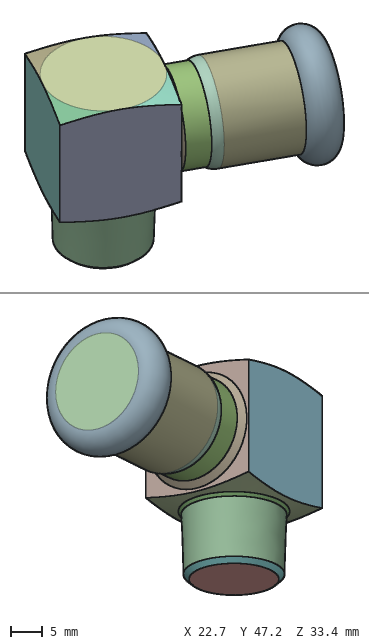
import cadquery as cq
import math

overall_length = 47.2
block_width = 20.0
half_width = block_width / 2
socket_end = overall_length - half_width

block_top = 11.0
bevel_angle = math.radians(15)
bevel_edge_z = -10.2

bead_radius = 22.7 / 2
bead_round = 3.3
tube_radius = 18.3 / 2
neck_radius = 17.2 / 2
tube_start = 17.25
neck_start = 11.1

spigot_end = -22.0
collar_radius = 17.6 / 2
collar_drop = 0.55
spigot_root_radius = 8.35
spigot_tip_radius = 8.02
tip_face_radius = 14.2 / 2
tip_chamfer_height = 0.85

collar_z = bevel_edge_z - (half_width - collar_radius) * math.tan(bevel_angle)


def make_block():
    """Square block trimmed by a cone at each end."""
    corner_radius = half_width * math.sqrt(2)
    bevel_drop = (corner_radius - half_width) * math.tan(bevel_angle)
    square = (
        cq.Workplane("XY")
        .workplane(offset=collar_z)
        .rect(block_width, block_width)
        .extrude(block_top - collar_z)
    )
    envelope = (
        cq.Workplane("XZ")
        .moveTo(0, collar_z)
        .lineTo(collar_radius, collar_z)
        .lineTo(corner_radius, bevel_edge_z + bevel_drop)
        .lineTo(corner_radius, block_top - bevel_drop)
        .lineTo(half_width, block_top)
        .lineTo(0, block_top)
        .close()
        .revolve(360, (0, 0, 0), (0, 1, 0))
    )
    return square.intersect(envelope)


def make_socket():
    """Tube with a flared root, a rounded shoulder and a bead at its open end."""
    flare_height = neck_start - half_width
    bead_center_radius = bead_radius - bead_round
    bead_center_y = socket_end - bead_round
    bead_base_y = bead_center_y - math.sqrt(bead_round**2 - (tube_radius - bead_center_radius) ** 2)

    shoulder_center_radius = tube_radius - bead_round
    shoulder_length = math.sqrt(bead_round**2 - (neck_radius - shoulder_center_radius) ** 2)
    half_angle = math.asin(shoulder_length / bead_round) / 2
    shoulder_middle = (
        shoulder_center_radius + bead_round * math.cos(half_angle),
        tube_start - bead_round * math.sin(half_angle),
    )
    return (
        cq.Workplane("XY")
        .lineTo(neck_radius + flare_height, 0)
        .lineTo(neck_radius + flare_height, half_width)
        .lineTo(neck_radius, neck_start)
        .lineTo(neck_radius, tube_start - shoulder_length)
        .threePointArc(shoulder_middle, (tube_radius, tube_start))
        .lineTo(tube_radius, bead_base_y)
        .threePointArc((bead_radius, bead_center_y), (bead_center_radius, socket_end))
        .lineTo(0, socket_end)
        .close()
        .revolve(360, (0, 0, 0), (0, 1, 0))
    )


def make_spigot():
    """Tapered spigot with a conical collar and a chamfered tip."""
    return (
        cq.Workplane("XZ")
        .lineTo(collar_radius, 0)
        .lineTo(collar_radius, collar_z)
        .lineTo(spigot_root_radius, collar_z - collar_drop)
        .lineTo(spigot_tip_radius, spigot_end + tip_chamfer_height)
        .lineTo(tip_face_radius, spigot_end)
        .lineTo(0, spigot_end)
        .close()
        .revolve(360, (0, 0, 0), (0, 1, 0))
    )


result = make_block().union(make_socket()).union(make_spigot())